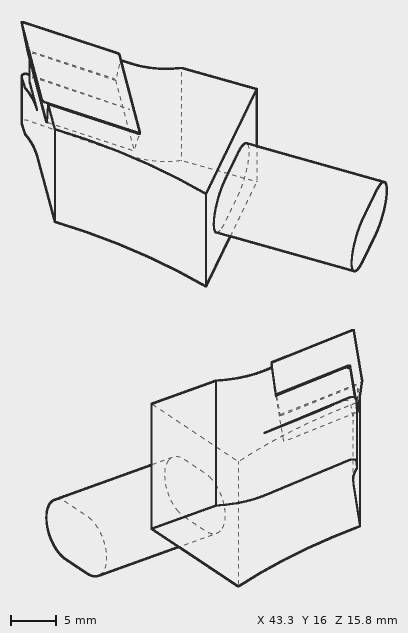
import cadquery as cq

total_length = 43.3
block_width = 16.0
block_height = 15.65
shoulder_x = 27.3
half_width = block_width / 2

shank_width = 11.15
shank_height = 7.2

insert_rise = 0.17
insert_thickness = 3.9
relief_angle = 7.0
insert_tip = (-0.1, 8.0)
insert_top_side = (11.6, -0.6)
insert_front_side = (6.1, -9.9)
acute_corner_radius = 0.1
obtuse_corner_radius = 0.45

front_corner = (8.6, -5.02)
belly_middle = (18.2, -5.9)
back_edge_start = (18.55, half_width)
scoop_start = (13.0, 6.65)
nose_corner = (0.9, 7.35)
nose_radius = 0.45

foot_height = block_height / 2
foot_corner = (-0.15, 7.62)
foot_hollow_start = (1.2, 5.65)
foot_hollow_end_y = 3.1


def point_on_front_face(y):
    """Point at the given Y on the line from the front corner to the nose corner."""
    share = (y - front_corner[1]) / (nose_corner[1] - front_corner[1])
    return (front_corner[0] + share * (nose_corner[0] - front_corner[0]), y)


def make_block():
    """Full-height prism with a scooped back edge and a curved belly."""
    block = (
        cq.Workplane("XY")
        .moveTo(*front_corner)
        .lineTo(*nose_corner)
        .lineTo(*scoop_start)
        .tangentArcPoint(back_edge_start, relative=False)
        .lineTo(shoulder_x, half_width)
        .lineTo(shoulder_x, -half_width)
        .threePointArc(belly_middle, front_corner)
        .close()
        .extrude(block_height)
    )
    return block.edges(cq.selectors.NearestToPointSelector((*nose_corner, block_height / 2))).fillet(nose_radius)


def make_foot():
    """Bulge with a rounded nose and a hollow that runs tangent into the front face."""
    hollow_end = point_on_front_face(foot_hollow_end_y)
    foot = (
        cq.Workplane("XY")
        .moveTo(*front_corner)
        .lineTo(*hollow_end)
        .tangentArcPoint(foot_hollow_start, relative=False)
        .lineTo(*foot_corner)
        .lineTo(*scoop_start)
        .close()
        .extrude(foot_height)
    )
    return foot.edges(cq.selectors.NearestToPointSelector((*foot_corner, foot_height / 2))).fillet(nose_radius)


def make_shank():
    return (
        cq.Workplane("YZ", origin=(shoulder_x, 0, block_height / 2))
        .slot2D(shank_width, shank_height)
        .extrude(total_length - shoulder_x)
    )


def make_insert():
    """Tapered parallelogram, widest at its top face, with all four upright corners rounded."""
    top_z = block_height + insert_rise
    tip = cq.Vector(*insert_tip)
    top_side = cq.Vector(*insert_top_side)
    front_side = cq.Vector(*insert_front_side)
    corners = [tip, tip + top_side, tip + top_side + front_side, tip + front_side]
    insert = (
        cq.Workplane("XY", origin=(0, 0, top_z))
        .polyline([(corner.x, corner.y) for corner in corners])
        .close()
        .extrude(-insert_thickness, taper=relief_angle)
    )
    radii = [acute_corner_radius, obtuse_corner_radius] * 2
    for corner, radius in zip(corners, radii):
        near_corner = cq.selectors.NearestToPointSelector((corner.x, corner.y, top_z - insert_thickness / 2))
        insert = insert.edges("not #Z").edges(near_corner).fillet(radius)
    return insert


insert = make_insert()
holder = make_block().union(make_foot()).union(make_shank()).cut(insert)

result = cq.Compound.makeCompound([*holder.solids().vals(), *insert.solids().vals()])